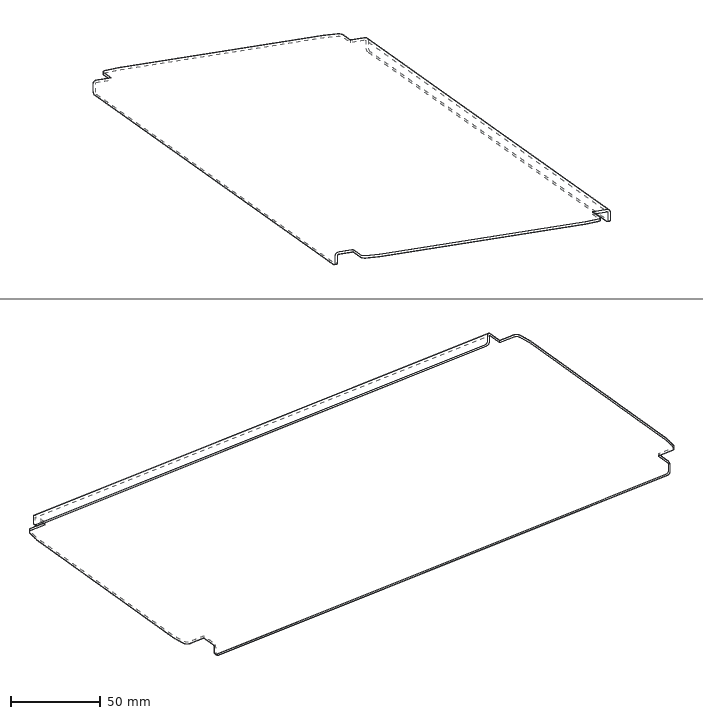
import cadquery as cq

length = 344.3
width = 170.5
height = 8.0

thickness = 1.5
bend_inner_radius = 0.7
bend_outer_radius = bend_inner_radius + thickness

end_tab_length = 13.5
end_tab_width = 148.0
tab_corner_radius = 2.8

taper_depth = 1.5
taper_run = 10.5

flange_corner_radius = 2.0
flange_length = length - 2 * end_tab_length


def make_flat_sheet():
    """Flat plate running the full length, its ends tapering slightly into rounded corners."""
    end_x = length / 2
    side_y = end_tab_width / 2
    outline = [
        (end_x - taper_depth, side_y),
        (end_x, side_y - taper_run),
        (end_x, -side_y + taper_run),
        (end_x - taper_depth, -side_y),
        (-end_x + taper_depth, -side_y),
        (-end_x, -side_y + taper_run),
        (-end_x, side_y - taper_run),
        (-end_x + taper_depth, side_y),
    ]
    return (
        cq.Workplane("XY")
        .workplane(offset=height - thickness)
        .polyline(outline)
        .close()
        .extrude(thickness)
        .edges("|Z and (>Y or <Y)")
        .fillet(tab_corner_radius)
    )


def make_folded_channel():
    """Shallow channel whose two long sides are bent downwards."""
    outside = (
        cq.Workplane("XY")
        .box(flange_length, width, height, centered=(True, True, False))
        .edges("|X and >Z")
        .fillet(bend_outer_radius)
    )
    inside = (
        cq.Workplane("XY")
        .box(flange_length, width - 2 * thickness, height - thickness, centered=(True, True, False))
        .edges("|X and >Z")
        .fillet(bend_inner_radius)
    )
    return outside.cut(inside).edges("|Y and <Z").fillet(flange_corner_radius)


result = make_folded_channel().union(make_flat_sheet())